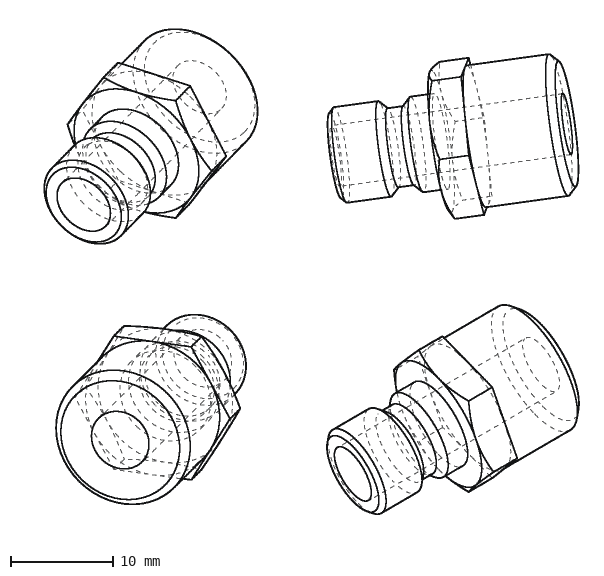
import cadquery as cq
import math

total_length = 23.0
hex_start = 10.49
hex_end = 14.0
groove_start = 4.9
groove_end = 8.1

across_flats = 14.0
nipple_diameter = 9.45
groove_diameter = 7.82
bore_diameter = 6.0

tip_chamfer = 0.5
shank_chamfer = 0.8
hex_chamfer_angle = math.radians(30)
cone_overrun = 0.23

shank_radius = across_flats / 2
nipple_radius = nipple_diameter / 2
groove_radius = groove_diameter / 2
groove_depth = nipple_radius - groove_radius
across_corners = across_flats / math.cos(math.pi / 6)


def revolve_profile(points):
    """Revolve a closed (radius, Y) outline around the Y axis."""
    return cq.Workplane("XY").polyline(points).close().revolve(360, (0, 0, 0), (0, 1, 0))


def make_nipple():
    """Front spigot with a chamfered tip and a 45 degree sided locking groove."""
    return revolve_profile([
        (0, 0),
        (nipple_radius - tip_chamfer, 0),
        (nipple_radius, tip_chamfer),
        (nipple_radius, groove_start),
        (groove_radius, groove_start + groove_depth),
        (groove_radius, groove_end - groove_depth),
        (nipple_radius, groove_end),
        (nipple_radius, hex_start),
        (0, hex_start),
    ])


def make_hexagon():
    """Wrench hexagon with corners on X, its front corners trimmed by a cone."""
    prism = (
        cq.Workplane("XZ", origin=(0, hex_end, 0))
        .polygon(6, across_corners)
        .extrude(hex_end - hex_start)
    )
    rim_radius = across_corners / 2 + cone_overrun
    rim_y = hex_start + (rim_radius - shank_radius) * math.tan(hex_chamfer_angle)
    envelope = revolve_profile([
        (0, hex_start),
        (shank_radius, hex_start),
        (rim_radius, rim_y),
        (rim_radius, hex_end),
        (0, hex_end),
    ])
    return prism.intersect(envelope)


def make_shank():
    """Plain rear cylinder, as wide as the flats, with a chamfered end."""
    return revolve_profile([
        (0, hex_end),
        (shank_radius, hex_end),
        (shank_radius, total_length - shank_chamfer),
        (shank_radius - shank_chamfer, total_length),
        (0, total_length),
    ])


body = make_nipple().union(make_hexagon()).union(make_shank())
bore = cq.Workplane("XZ").circle(bore_diameter / 2).extrude(-total_length)
result = body.cut(bore)